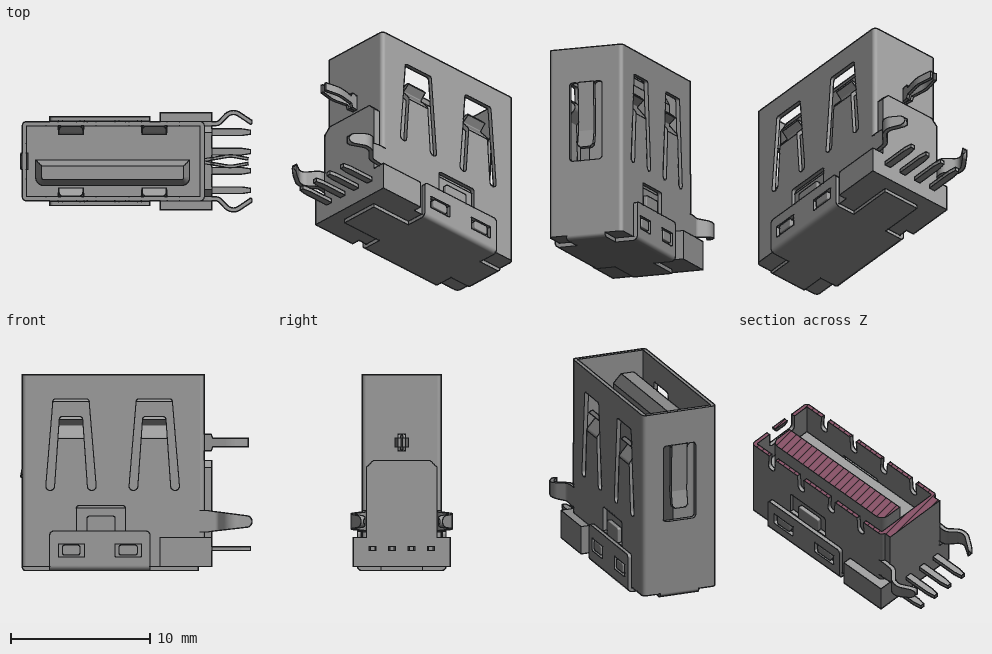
import cadquery as cq
import math


sheet = 0.3
overall_height = 14.1
shell_length = 13.1
shell_width = 5.7
shell_bend_radius = 0.3

floor_top = 4.5
tongue_top = 13.0
tongue_chamfer_height = 0.82
tongue_chamfer_inset = 0.43
tongue_x = (0.97, 12.05)
tongue_y = (-1.76, 0.09)
tongue_corner_radius = 0.6

contact_spring_x = (3.51, 9.5)

half_width = shell_width / 2
inner_half_width = half_width - sheet


def box(x, y, z):
    """Box spanning the (low, high) pairs given for each axis."""
    size = (x[1] - x[0], y[1] - y[0], z[1] - z[0])
    return cq.Workplane("XY").box(*size, centered=False).translate((x[0], y[0], z[0]))


def both_sides(shape):
    """Shape together with its mirror image in the XZ plane."""
    return shape.union(shape.mirror("XZ"))


def front_prism(points, y):
    """Prism with an outline of (x, z) points, spanning the (low, high) pair y."""
    prism = cq.Workplane("XZ").polyline(points).close().extrude(y[0] - y[1])
    return prism.translate((0, y[0], 0))


def bent_strip(plane, path, thickness, span, bend_radii):
    """Strip with one face along path, thickened to the left of travel and extruded along span.

    bend_radii holds the inside radius of each bend, in order along the path.
    """
    headings = []
    for start, end in zip(path, path[1:]):
        headings.append(math.atan2(end[1] - start[1], end[0] - start[0]))
    far_side = []
    for index, point in enumerate(path):
        before = headings[max(index - 1, 0)]
        after = headings[min(index, len(headings) - 1)]
        normal = (before + after + math.pi) / 2
        reach = thickness / math.cos((after - before) / 2)
        far_side.append((point[0] + reach * math.cos(normal), point[1] + reach * math.sin(normal)))
    base = cq.Workplane(plane, origin=cq.Plane.named(plane).zDir * span[0])
    strip = base.polyline(path + far_side[::-1]).close().extrude(span[1] - span[0])
    middle = (span[1] - span[0]) / 2
    for index, bend_radius in enumerate(bend_radii, start=1):
        turns_left = headings[index] > headings[index - 1]
        near_radius = bend_radius + (thickness if turns_left else 0)
        far_radius = bend_radius + (0 if turns_left else thickness)
        for corner, radius in ((path[index], near_radius), (far_side[index], far_radius)):
            spot = base.plane.toWorldCoords((corner[0], corner[1], middle))
            strip = strip.edges(cq.NearestToPointSelector(spot.toTuple())).fillet(radius)
    return strip


def make_shell():
    outside = box((0, shell_length), (-half_width, half_width), (sheet, overall_height))
    outside = outside.edges("|Z").fillet(shell_bend_radius)
    cavity = box(
        (sheet, shell_length - sheet), (-inner_half_width, inner_half_width), (sheet, overall_height)
    )
    return outside.cut(cavity)


slot_bottom = 5.78
slot_top = 12.36
slot_outer_half = (1.84, 1.29)
slot_top_radius = 0.2
slot_end_radius = 0.3
finger_root_half = 1.2
finger_tip_half = 0.83
finger_tip = 11.1
finger_bend = 9.51
finger_peak = 10.45
finger_peak_depth = 0.77
finger_tip_depth = 0.05
finger_tip_radius = 0.24
finger_bend_radii = (0.03, 0.08)


def finger_half_at(z):
    slope = (finger_root_half - finger_tip_half) / (finger_tip - slot_bottom)
    return finger_root_half - slope * (z - slot_bottom)


def spring_slot(x):
    """U-shaped opening around a finger in the -Y wall."""
    bottom_half, top_half = slot_outer_half
    neck_half = finger_half_at(finger_bend)
    outline = [
        (x - bottom_half, slot_bottom),
        (x - top_half, slot_top),
        (x + top_half, slot_top),
        (x + bottom_half, slot_bottom),
        (x + finger_root_half, slot_bottom),
        (x + neck_half, finger_bend),
        (x - neck_half, finger_bend),
        (x - finger_root_half, slot_bottom),
    ]
    slot = front_prism(outline, (-half_width, -inner_half_width))
    slot = slot.edges("|Y").edges("<Z").fillet(slot_end_radius)
    return slot.edges("|Y").edges(">Z").fillet(slot_top_radius)


def spring_finger(x):
    """Free end of a finger: bent into the cavity, then back toward the -Y wall."""
    root = finger_bend - sheet
    wall_y = -inner_half_width
    path = [
        (wall_y, root),
        (wall_y, finger_bend),
        (wall_y + finger_peak_depth, finger_peak),
        (wall_y + finger_tip_depth, finger_tip),
    ]
    span = (x - finger_root_half, x + finger_root_half)
    strip = bent_strip("YZ", path, sheet, span, finger_bend_radii)
    outline = [
        (x - finger_half_at(root), root),
        (x + finger_half_at(root), root),
        (x + finger_tip_half, finger_tip),
        (x - finger_tip_half, finger_tip),
    ]
    blank = front_prism(outline, (-half_width, 0))
    blank = blank.edges("|Y").edges(">Z").fillet(finger_tip_radius)
    return strip.intersect(blank)


side_window_half = 1.27
side_window_z = (5.76, 11.56)
side_window_radius = 0.28
side_spring_half = 0.6
side_spring_bend = (0.41, 7.93)
side_spring_tip = (0.165, 6.68)
side_spring_radius = 0.1
side_spring_tip_chamfer = 0.2


def side_window():
    window = box((0, sheet), (-side_window_half, side_window_half), side_window_z)
    strip = box((0, sheet), (-side_spring_half, side_spring_half), side_window_z)
    slots = window.cut(strip).edges("|X and >Z").fillet(side_window_radius)
    lower_corners = "|X and <Z and (<Y or >Y)"
    return slots.union(strip).edges(lower_corners).fillet(side_window_radius)


def side_spring():
    path = [side_spring_tip, side_spring_bend, (sheet, side_window_z[1])]
    strip = bent_strip("XZ", path, sheet, (-side_spring_half, side_spring_half), [side_spring_radius])
    return strip.faces("<Z").edges("not |Y").chamfer(side_spring_tip_chamfer)


plate_end = 12.67
plate_half = 1.5
plate_nose_radius = 0.27
flap_x = (1.98, 9.19)
flap_top = 2.85
flap_outer = 3.2
flap_bend_radius = 0.35
flap_corner_radius = 0.28
flap_window_length = 1.9
flap_window_z = (0.97, 1.93)
flap_window_x = (2.6, 6.68)
flap_window_radius = 0.1


def bottom_plate():
    strip = box((0, plate_end), (-plate_half, plate_half), (0, sheet))
    strip = strip.edges("|Y and <X and <Z").fillet(plate_nose_radius)
    channel = box(flap_x, (-flap_outer, flap_outer), (0, flap_top))
    channel = channel.edges("|X and <Z").fillet(flap_bend_radius)
    channel = channel.edges("|Y and >Z").fillet(flap_corner_radius)
    flap_inner = flap_outer - sheet
    channel = channel.cut(box(flap_x, (-flap_inner, flap_inner), (sheet, flap_top)))
    for x in flap_window_x:
        opening = box((x, x + flap_window_length), (-flap_outer, flap_outer), flap_window_z)
        channel = channel.cut(opening.edges("|Y and <Z").fillet(flap_window_radius))
    return strip.union(channel)


notch_x = (3.9, 7.42)
notch_z = (flap_top, 4.69)
notch_radius = 0.2
wall_bump_x = (4.67, 6.69)
wall_bump_top = 3.92
flap_bump_x = ((2.9, 4.15), (6.96, 8.28))
flap_bump_z = (1.13, 1.84)
bump_radius = 0.15
bump_edge_radius = 0.06


def notch():
    return box(notch_x, (-half_width, -inner_half_width), notch_z).edges("|Y and >Z").fillet(notch_radius)


def wall_bump():
    bump = box(wall_bump_x, (-half_width, -inner_half_width), (flap_top - sheet, wall_bump_top))
    bump = bump.edges("|Y and >Z").fillet(bump_radius)
    return bump.faces("<Y").edges("not <Z").fillet(bump_edge_radius)


def flap_bump(x):
    bump = box(x, (-flap_outer, -half_width), flap_bump_z).edges("|Y").fillet(bump_radius)
    return bump.faces("<Y").fillet(bump_edge_radius)


back_end = 13.65
back_top = 7.93
back_chamfer = 0.5
block_start = 9.92
block_top = 2.4
block_face = 3.5


def plastic_body():
    floor = box(
        (sheet, shell_length - sheet), (-inner_half_width, inner_half_width), (sheet, floor_top)
    )
    back = box((shell_length, back_end), (-inner_half_width, inner_half_width), (sheet, back_top))
    back = back.edges("|X and >Z").chamfer(back_chamfer)
    blocks = both_sides(box((block_start, back_end), (-block_face, -half_width), (sheet, block_top)))
    corners = both_sides(
        box((shell_length - sheet, back_end), (-half_width, -inner_half_width), (sheet, block_top))
    )
    return floor.union(back).union(blocks).union(corners).union(tongue())


def tongue():
    straight_top = tongue_top - tongue_chamfer_height
    column = box(tongue_x, tongue_y, (floor_top, straight_top))
    column = column.edges("|Z and <Y").fillet(tongue_corner_radius)
    taper = math.degrees(math.atan2(tongue_chamfer_inset, tongue_chamfer_height))
    tip = column.faces(">Z").wires().toPending().workplane().extrude(tongue_chamfer_height, taper=taper)
    return column.union(tip)


contact_y = (-2.09, -0.69, 0.69, 2.09)
contact_end = 16.43
contact_taper_start = 15.79
contact_half_width = 0.25
contact_tip_half = 0.15
contact_z = (1.44, 1.74)


def contact(y):
    outline = [
        (back_end, y - contact_half_width),
        (contact_taper_start, y - contact_half_width),
        (contact_end, y - contact_tip_half),
        (contact_end, y + contact_tip_half),
        (contact_taper_start, y + contact_half_width),
        (back_end, y + contact_half_width),
    ]
    pin = cq.Workplane("XY").polyline(outline).close().extrude(contact_z[1] - contact_z[0])
    return pin.translate((0, 0, contact_z[0]))


leg_root = shell_length - sheet
leg_root_z = (2.8, 4.32)
leg_neck_x = 13.4
leg_end = 16.54
leg_tip_z = (3.13, 3.95)
leg_tip_depth = 0.3
leg_bend_radii = (0.35, 0.58)
leg_bend_x = 14.05
leg_peak = (15.08, -3.91)
leg_tip = (16.62, -2.88)


def leg():
    path = [(leg_root, -half_width), (leg_bend_x, -half_width), leg_peak, leg_tip]
    strip = bent_strip("XY", path, sheet, leg_root_z, leg_bend_radii)
    tip_x = leg_end - leg_tip_depth
    blank = (
        cq.Workplane("XZ")
        .moveTo(leg_root, leg_root_z[0])
        .lineTo(leg_neck_x, leg_root_z[0])
        .lineTo(tip_x, leg_tip_z[0])
        .threePointArc((leg_end, sum(leg_tip_z) / 2), (tip_x, leg_tip_z[1]))
        .lineTo(leg_neck_x, leg_root_z[1])
        .lineTo(leg_root, leg_root_z[1])
        .close()
        .extrude(2 * shell_width, both=True)
    )
    return strip.intersect(blank)


leaf_root = shell_length - sheet
leaf_middle_z = 9.22
leaf_base_half = 0.6
leaf_half = 0.31
leaf_shoulder = (13.6, 13.72)
leaf_end = 16.27
leaf_thickness = 0.2
leaf_bend = (13.22, 0)
leaf_peak = (15.0, 0.3)
leaf_tip = (16.23, 0.07)
leaf_bend_radii = (0.1, 1.7)


def leaf():
    path = [(leaf_root, 0), leaf_bend, leaf_peak, leaf_tip]
    span = (leaf_middle_z - leaf_base_half, leaf_middle_z + leaf_base_half)
    strip = bent_strip("XY", path, leaf_thickness, span, leaf_bend_radii)
    lower = [
        (leaf_root, -leaf_base_half),
        (leaf_shoulder[0], -leaf_base_half),
        (leaf_shoulder[1], -leaf_half),
        (leaf_end, -leaf_half),
    ]
    upper = [(x, -z) for x, z in reversed(lower)]
    blank = front_prism(lower + upper, (-half_width, half_width)).translate((0, 0, leaf_middle_z))
    return strip.intersect(blank)


result = make_shell()
for spring_x in contact_spring_x:
    result = result.cut(both_sides(spring_slot(spring_x)))
    result = result.union(both_sides(spring_finger(spring_x)))
result = result.cut(side_window()).union(side_spring())
result = result.cut(both_sides(notch()))
result = result.union(plastic_body()).union(both_sides(wall_bump()))
result = result.union(bottom_plate())
for bump_x in flap_bump_x:
    result = result.union(both_sides(flap_bump(bump_x)))
for pin_y in contact_y:
    result = result.union(contact(pin_y))
result = result.union(both_sides(leg())).union(both_sides(leaf()))